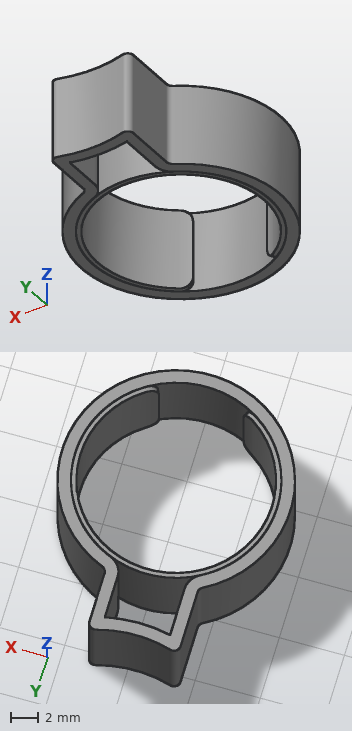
import cadquery as cq
import math

height = 7.0
wall = 1.0
band_outer_radius = 8.75
band_inner_radius = band_outer_radius - wall

tab_width = 7.0
tab_center_x = -0.5
tab_dip_y = 12.62
tab_end_radius = 10.0
tab_corner_radius = 0.5
neck_outer_radius = 0.5
neck_inner_radius = neck_outer_radius + wall

liner_thickness = 0.4
liner_inner_radius = band_inner_radius - liner_thickness
liner_gap_angle = 52.6
liner_corner_radius = 1.0


def keyhole(disc_radius, width, end_dip_y, end_radius, neck_radius):
    """Disc joined to a tab with a concave end, with rounded necks between them."""
    half_width = width / 2
    corner_rise = end_radius - math.sqrt(end_radius**2 - half_width**2)
    left = tab_center_x - half_width
    right = tab_center_x + half_width
    corner_y = end_dip_y + corner_rise
    tab = (
        cq.Workplane("XY")
        .moveTo(left, 0)
        .lineTo(right, 0)
        .lineTo(right, corner_y)
        .threePointArc((tab_center_x, end_dip_y), (left, corner_y))
        .close()
        .extrude(height)
    )
    disc = cq.Workplane("XY").circle(disc_radius).extrude(height)
    neck_edges = cq.selectors.BoxSelector(
        (left - wall, disc_radius / 2, -height),
        (right + wall, disc_radius, 2 * height),
    )
    return disc.union(tab).edges("|Z").edges(neck_edges).fillet(neck_radius)


def make_housing():
    outside = keyhole(band_outer_radius, tab_width, tab_dip_y, tab_end_radius, neck_outer_radius)
    tab_corners = cq.selectors.BoxSelector(
        (-tab_width, tab_dip_y, -height),
        (tab_width, tab_dip_y + tab_end_radius, 2 * height),
    )
    outside = outside.edges("|Z").edges(tab_corners).fillet(tab_corner_radius)
    inside = keyhole(
        band_inner_radius,
        tab_width - 2 * wall,
        tab_dip_y - wall,
        tab_end_radius + wall,
        neck_inner_radius,
    )
    return outside.cut(inside)


def make_liner():
    ring = cq.Workplane("XY").circle(band_inner_radius).circle(liner_inner_radius).extrude(height)
    wedge_depth = 2 * band_inner_radius
    wedge_half_width = wedge_depth * math.tan(math.radians(liner_gap_angle / 2))
    wedge = (
        cq.Workplane("XY")
        .polyline([(0, 0), (-wedge_half_width, -wedge_depth), (wedge_half_width, -wedge_depth)])
        .close()
        .extrude(height)
    )
    end_corners = cq.selectors.BoxSelector(
        (-band_inner_radius, -band_inner_radius, -height),
        (band_inner_radius, -band_inner_radius / 2, 2 * height),
    )
    return ring.cut(wedge).edges("%LINE").edges("#Z").edges(end_corners).fillet(liner_corner_radius)


housing = make_housing().solids()
liner = make_liner().solids()

result = cq.Compound.makeCompound([housing.val(), liner.val()])